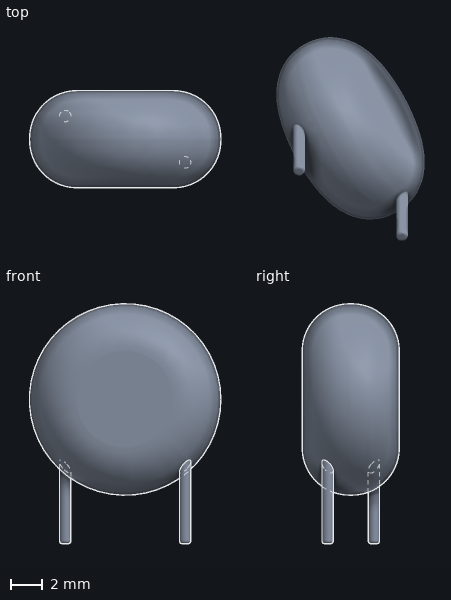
import cadquery as cq

body_diameter = 12.0
body_thickness = 6.1
edge_radius = 2.98

lead_diameter = 0.72
lead_pitch = 7.5
lead_stagger = 2.9
lead_protrusion = 3.03
tip_fillet = lead_diameter / 4

body_radius = body_diameter / 2
body_center_z = body_radius
lead_top_z = body_center_z
lead_length = lead_top_z + lead_protrusion


def make_body():
    """Disc with both rims rounded, lowest point at Z = 0."""
    disc = (
        cq.Workplane("XZ", origin=(0, body_thickness / 2, body_center_z))
        .circle(body_radius)
        .extrude(body_thickness)
    )
    return disc.edges().fillet(edge_radius)


def make_lead(x, y):
    """Round wire with a rounded lower tip."""
    wire = (
        cq.Workplane("XY", origin=(x, y, -lead_protrusion))
        .circle(lead_diameter / 2)
        .extrude(lead_length)
    )
    return wire.faces("<Z").edges().fillet(tip_fillet)


result = make_body()
for side in (-1, 1):
    result = result.union(make_lead(side * lead_pitch / 2, -side * lead_stagger / 2))